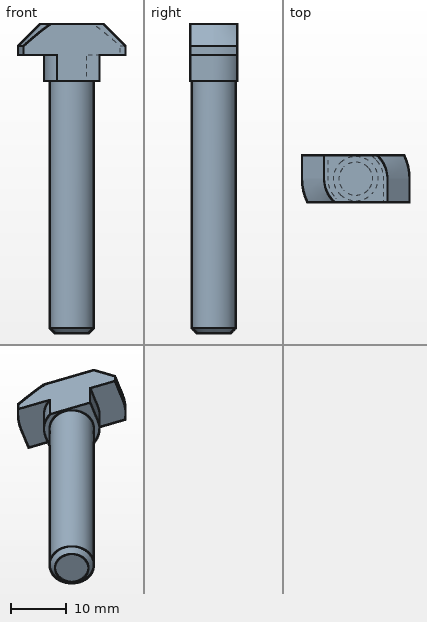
import cadquery as cq

head_radius = 9.7
body_width = 8.5
rim_height = 1.6
head_bevel = 4.0
neck_radius = 5.0
neck_height = 4.7
shank_diameter = 8.0
shank_length = 45.4
shank_chamfer = 1.0

head_top_radius = head_radius - head_bevel
half_width = body_width / 2
rim_top = neck_height + rim_height
head_top = rim_top + head_bevel

half_profile = [
    (0, 0),
    (neck_radius, 0),
    (neck_radius, neck_height),
    (head_radius, neck_height),
    (head_radius, rim_top),
    (head_top_radius, head_top),
    (0, head_top),
]


def make_square_body():
    """T profile extruded across the full body width."""
    mirrored = [(-x, z) for x, z in reversed(half_profile[1:-1])]
    outline = half_profile[:-1] + mirrored
    return cq.Workplane("XZ").polyline(outline).close().extrude(half_width, both=True)


def make_turned_body():
    """Same T profile revolved about Z: the shape of the two rounded corners."""
    return cq.Workplane("XZ").polyline(half_profile).close().revolve(360, (0, 0), (0, 1))


def make_quadrant(x_side, y_side):
    """Block covering one plan quadrant of the body; each side is +1 or -1."""
    return (
        cq.Workplane("XY")
        .center(x_side * head_radius / 2, y_side * half_width / 2)
        .rect(head_radius, half_width)
        .extrude(head_top)
    )


def make_body():
    """T body with two diagonally opposite corners turned, so it can twist into a slot."""
    turned_body = make_turned_body()
    body = make_square_body()
    for side in (-1, 1):
        quadrant = make_quadrant(side, side)
        body = body.cut(quadrant.cut(turned_body))
    return body


def make_shank():
    """Round shank below the neck, chamfered at its free end."""
    return (
        cq.Workplane("XY")
        .circle(shank_diameter / 2)
        .extrude(-shank_length)
        .faces("<Z")
        .chamfer(shank_chamfer)
    )


result = make_body().union(make_shank())